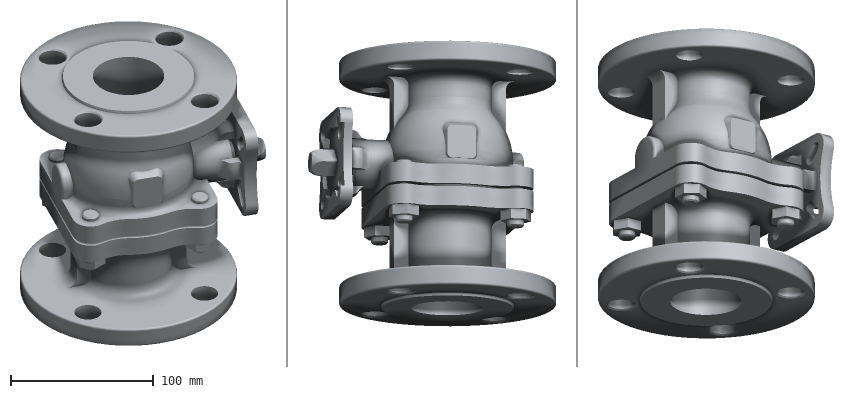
import cadquery as cq
import math


TOP_FACE_Z = 78
BOTTOM_FACE_Z = -100
BORE_DIA = 50
FLANGE_DIA = 152
FLANGE_THICKNESS = 14
FLANGE_EDGE_RADIUS = 1.5
RAISED_FACE_DIA = 92
RAISED_FACE_HEIGHT = 2
RAISED_FACE_FLARE = 0.7
FLANGE_HOLE_DIA = 19
FLANGE_HOLE_CHAMFER = 1
FLANGE_BOLT_CIRCLE = 120.7
TOP_FLANGE_UNDER_Z = TOP_FACE_Z - RAISED_FACE_HEIGHT - FLANGE_THICKNESS
BOTTOM_FLANGE_UPPER_Z = BOTTOM_FACE_Z + RAISED_FACE_HEIGHT + FLANGE_THICKNESS

NECK_RADIUS = 30.75
CHAMBER_RADIUS = 46
CHAMBER_CENTER_Z = 4.4
CHAMBER_SKIRT_Z = -1.8
SHOULDER_RADIUS = 15.5
TOP_NECK_FILLET = 6
BOTTOM_NECK_FILLET = 8
JOINT_NECK_FILLET = 7.5

JOINT_HALF_WIDTH = 52.5
JOINT_THICKNESS = 13.8
JOINT_GAP = 2
JOINT_TOP_Z = -7.3
GASKET_RADIUS = 49
BOLT_OFFSET = 40
LUG_RADIUS = JOINT_HALF_WIDTH - BOLT_OFFSET
WAIST_RADIUS = 30
JOINT_SPLIT_Z = JOINT_TOP_Z - JOINT_THICKNESS
COVER_TOP_Z = JOINT_SPLIT_Z - JOINT_GAP
COVER_BOTTOM_Z = COVER_TOP_Z - JOINT_THICKNESS

BOLT_DIA = 12
BOLT_CHAMFER = 1
BOLT_TOP_PROJECTION = 3
NUT_HEIGHT = 7
NUT_ACROSS_FLATS = 19
BOLT_END_PROJECTION = 4.2

RIB_WIDTH = 16
RIB_REACH = 40

PAD_FACE_X = 46.5
PAD_WIDTH = 20.6
PAD_TOP_Z = 21.6
PAD_BOTTOM_Z = -1.7
PAD_CORNER_RADIUS = 3.5
PAD_TAPER = 28
PAD_DEPTH = 7
FRONT_BOSS_RADIUS = 12.8
FRONT_BOSS_EDGE = 2.1

HOUSING_DIA = 35.2
HOUSING_END_Y = 71.1
STEM_DIA = 19
STEM_END_Y = 98.5
STEM_ACROSS_FLATS = 14.5
STEM_ROUNDING_LENGTH = 8
STEM_ROUNDING_DEPTH = 2.6

PLATE_BACK_Y = 75.4
PLATE_THICKNESS = 9
PLATE_FRONT_Y = PLATE_BACK_Y + PLATE_THICKNESS
PLATE_HALF_WIDTH = 35
PLATE_LOBE_RADIUS = 10
PLATE_LOBE_OFFSET = PLATE_HALF_WIDTH - PLATE_LOBE_RADIUS
PLATE_WAIST_HALF_HEIGHT = 21.7
RECESS_DEPTH = 3
RECESS_DIA = 50
RECESS_MOUTH_HALF_HEIGHT = 22.7
SLOT_WIDTH = 8
SLOT_INNER_CIRCLE = 50
SLOT_OUTER_CIRCLE = 70
ARM_WIDTH = 14.5
ARM_INNER_FACE = 17
ARM_OUTER_RADIUS = 24
ARM_END_RADIUS = 18
ARM_FILLET = 2.8
ARM_CURVE_START_Y = 69.9
ARM_END_Y = 59.4

CORNERS = [(1, 1), (-1, 1), (-1, -1), (1, -1)]


def cylinder(radius, z_low, z_high):
    return cq.Workplane("XY").workplane(offset=z_low).circle(radius).extrude(z_high - z_low)


def y_cylinder(radius, y_low, y_high):
    """Cylinder on the stem axis."""
    return cq.Workplane("XZ", origin=(0, y_low, 0)).circle(radius).extrude(y_low - y_high)


def block(x_low, x_high, y_low, y_high, z_low, z_high):
    return cq.Workplane("XY").box(
        x_high - x_low, y_high - y_low, z_high - z_low, centered=False
    ).translate((x_low, y_low, z_low))


def pipe_flange(face_z, inward):
    """Flange with a raised face at face_z; inward is the Z direction towards the valve."""
    disc = cq.Workplane("XY").circle(FLANGE_DIA / 2).extrude(FLANGE_THICKNESS)
    disc = disc.edges().fillet(FLANGE_EDGE_RADIUS)
    hole_offset = FLANGE_BOLT_CIRCLE / 2 / math.sqrt(2)
    hole_places = [(hole_offset * sx, hole_offset * sy) for sx, sy in CORNERS]
    disc = disc.cut(cq.Workplane("XY").pushPoints(hole_places)
                    .circle(FLANGE_HOLE_DIA / 2).extrude(FLANGE_THICKNESS))
    mouths = (cq.Workplane("XY").workplane(offset=FLANGE_THICKNESS).pushPoints(hole_places)
              .circle(FLANGE_HOLE_DIA / 2 + FLANGE_HOLE_CHAMFER).extrude(-FLANGE_HOLE_CHAMFER, taper=45))
    disc = disc.cut(mouths)
    base_radius = RAISED_FACE_DIA / 2 + RAISED_FACE_FLARE
    flare_angle = math.degrees(math.atan(RAISED_FACE_FLARE / RAISED_FACE_HEIGHT))
    raised = (cq.Workplane("XY").workplane(offset=FLANGE_THICKNESS)
              .circle(base_radius).extrude(RAISED_FACE_HEIGHT, taper=flare_angle))
    flange = disc.union(raised)
    if inward > 0:
        flange = flange.rotate((0, 0, 0), (1, 0, 0), 180)
    return flange.translate((0, 0, face_z + inward * (FLANGE_THICKNESS + RAISED_FACE_HEIGHT)))


def point_on_circle(center, radius, angle):
    """Point on a circle at an angle in radians."""
    return (center[0] + radius * math.cos(angle), center[1] + radius * math.sin(angle))


def upper_body():
    """Top neck, shoulder and ball chamber as one turned shape."""
    shoulder_center_r = NECK_RADIUS + SHOULDER_RADIUS
    center_distance = CHAMBER_RADIUS + SHOULDER_RADIUS
    shoulder_z = CHAMBER_CENTER_Z + math.sqrt(center_distance ** 2 - shoulder_center_r ** 2)
    touch_angle = math.acos(shoulder_center_r / center_distance)
    chamber_center = (0, CHAMBER_CENTER_Z)
    touch = point_on_circle(chamber_center, CHAMBER_RADIUS, touch_angle)
    shoulder_middle = point_on_circle((shoulder_center_r, shoulder_z), SHOULDER_RADIUS,
                                      math.pi + touch_angle / 2)
    chamber_middle = point_on_circle(chamber_center, CHAMBER_RADIUS, touch_angle / 2)
    foot_fillet = CHAMBER_SKIRT_Z - JOINT_TOP_Z
    return (
        cq.Workplane("XZ")
        .moveTo(0, TOP_FLANGE_UNDER_Z)
        .lineTo(NECK_RADIUS + TOP_NECK_FILLET, TOP_FLANGE_UNDER_Z)
        .radiusArc((NECK_RADIUS, TOP_FLANGE_UNDER_Z - TOP_NECK_FILLET), -TOP_NECK_FILLET)
        .lineTo(NECK_RADIUS, shoulder_z)
        .threePointArc(shoulder_middle, touch)
        .threePointArc(chamber_middle, (CHAMBER_RADIUS, CHAMBER_CENTER_Z))
        .lineTo(CHAMBER_RADIUS, CHAMBER_SKIRT_Z)
        .radiusArc((CHAMBER_RADIUS + foot_fillet, JOINT_TOP_Z), -foot_fillet)
        .lineTo(0, JOINT_TOP_Z)
        .close()
        .revolve(360, (0, 0, 0), (0, 1, 0))
    )


def lower_neck():
    return (
        cq.Workplane("XZ")
        .moveTo(0, COVER_BOTTOM_Z)
        .lineTo(NECK_RADIUS + JOINT_NECK_FILLET, COVER_BOTTOM_Z)
        .radiusArc((NECK_RADIUS, COVER_BOTTOM_Z - JOINT_NECK_FILLET), -JOINT_NECK_FILLET)
        .lineTo(NECK_RADIUS, BOTTOM_FLANGE_UPPER_Z + BOTTOM_NECK_FILLET)
        .radiusArc((NECK_RADIUS + BOTTOM_NECK_FILLET, BOTTOM_FLANGE_UPPER_Z), -BOTTOM_NECK_FILLET)
        .lineTo(0, BOTTOM_FLANGE_UPPER_Z)
        .close()
        .revolve(360, (0, 0, 0), (0, 1, 0))
    )


def joint_plate(z_low):
    """Bolting plate: flat to the front and back, waisted beside a round bulge on each X side."""
    lug_distance = BOLT_OFFSET * math.sqrt(2)
    bulge_distance = JOINT_HALF_WIDTH + WAIST_RADIUS
    waist_to_lug = LUG_RADIUS + WAIST_RADIUS
    swing = math.acos((lug_distance ** 2 + bulge_distance ** 2 - waist_to_lug ** 2)
                      / (2 * lug_distance * bulge_distance))
    waist_angle = math.pi / 4 - swing
    waist_center = (bulge_distance * math.cos(waist_angle), bulge_distance * math.sin(waist_angle))
    bulge_x = JOINT_HALF_WIDTH * math.cos(waist_angle)
    bulge_y = JOINT_HALF_WIDTH * math.sin(waist_angle)
    lug_share = LUG_RADIUS / waist_to_lug
    lug_x = BOLT_OFFSET + lug_share * (waist_center[0] - BOLT_OFFSET)
    lug_y = BOLT_OFFSET + lug_share * (waist_center[1] - BOLT_OFFSET)
    half = JOINT_HALF_WIDTH
    return (
        cq.Workplane("XY").workplane(offset=z_low)
        .moveTo(-BOLT_OFFSET, half)
        .lineTo(BOLT_OFFSET, half)
        .radiusArc((lug_x, lug_y), LUG_RADIUS)
        .radiusArc((bulge_x, bulge_y), -WAIST_RADIUS)
        .radiusArc((bulge_x, -bulge_y), half)
        .radiusArc((lug_x, -lug_y), -WAIST_RADIUS)
        .radiusArc((BOLT_OFFSET, -half), LUG_RADIUS)
        .lineTo(-BOLT_OFFSET, -half)
        .radiusArc((-lug_x, -lug_y), LUG_RADIUS)
        .radiusArc((-bulge_x, -bulge_y), -WAIST_RADIUS)
        .radiusArc((-bulge_x, bulge_y), half)
        .radiusArc((-lug_x, lug_y), -WAIST_RADIUS)
        .radiusArc((-BOLT_OFFSET, half), LUG_RADIUS)
        .close()
        .extrude(JOINT_THICKNESS)
    )


def bolts():
    """Four bolts with nuts, each turned a quarter from the last about the pipe axis."""
    bolt_bottom = COVER_BOTTOM_Z - NUT_HEIGHT - BOLT_END_PROJECTION
    shank = cylinder(BOLT_DIA / 2, bolt_bottom, JOINT_TOP_Z + BOLT_TOP_PROJECTION)
    shank = shank.faces("<Z or >Z").chamfer(BOLT_CHAMFER)
    across_corners = NUT_ACROSS_FLATS / math.cos(math.pi / 6)
    nut = (cq.Workplane("XY").workplane(offset=COVER_BOTTOM_Z)
           .polygon(6, across_corners).extrude(-NUT_HEIGHT))
    bolt = shank.union(nut).translate((BOLT_OFFSET, -BOLT_OFFSET, 0))
    ring = bolt
    for turn in (90, 180, 270):
        ring = ring.union(bolt.rotate((0, 0, 0), (0, 0, 1), turn))
    return ring


def neck_ribs():
    """Slab through both necks, front to back, flaring into the flanges."""
    upper = (
        cq.Workplane("YZ", origin=(-RIB_WIDTH / 2, 0, 0))
        .moveTo(-RIB_REACH, CHAMBER_CENTER_Z)
        .lineTo(-RIB_REACH, TOP_FLANGE_UNDER_Z - TOP_NECK_FILLET)
        .radiusArc((-RIB_REACH - TOP_NECK_FILLET, TOP_FLANGE_UNDER_Z), -TOP_NECK_FILLET)
        .lineTo(RIB_REACH + TOP_NECK_FILLET, TOP_FLANGE_UNDER_Z)
        .radiusArc((RIB_REACH, TOP_FLANGE_UNDER_Z - TOP_NECK_FILLET), -TOP_NECK_FILLET)
        .lineTo(RIB_REACH, CHAMBER_CENTER_Z)
        .close()
        .extrude(RIB_WIDTH)
    )
    lower = (
        cq.Workplane("YZ", origin=(-RIB_WIDTH / 2, 0, 0))
        .moveTo(RIB_REACH, COVER_BOTTOM_Z)
        .lineTo(RIB_REACH, BOTTOM_FLANGE_UPPER_Z + BOTTOM_NECK_FILLET)
        .radiusArc((RIB_REACH + BOTTOM_NECK_FILLET, BOTTOM_FLANGE_UPPER_Z), -BOTTOM_NECK_FILLET)
        .lineTo(-RIB_REACH - BOTTOM_NECK_FILLET, BOTTOM_FLANGE_UPPER_Z)
        .radiusArc((-RIB_REACH, BOTTOM_FLANGE_UPPER_Z + BOTTOM_NECK_FILLET), -BOTTOM_NECK_FILLET)
        .lineTo(-RIB_REACH, COVER_BOTTOM_Z)
        .close()
        .extrude(RIB_WIDTH)
    )
    return upper.union(lower)


def side_pads():
    """Tapered pads on the -X and +X sides of the chamber."""
    pad_height = PAD_TOP_Z - PAD_BOTTOM_Z
    face = cq.Sketch().rect(PAD_WIDTH, pad_height).vertices().fillet(PAD_CORNER_RADIUS)
    pad = (cq.Workplane("YZ", origin=(PAD_FACE_X, 0, (PAD_TOP_Z + PAD_BOTTOM_Z) / 2))
           .placeSketch(face).extrude(-PAD_DEPTH, taper=-PAD_TAPER))
    pad = pad.intersect(block(0, PAD_FACE_X, -PAD_WIDTH, PAD_WIDTH, PAD_BOTTOM_Z, TOP_FACE_Z))
    return pad.union(pad.mirror("YZ"))


def front_boss():
    """Round-topped boss standing on the joint plate, flush with its front face."""
    boss = (
        cq.Workplane("XZ", origin=(0, -JOINT_HALF_WIDTH, 0))
        .moveTo(-FRONT_BOSS_RADIUS, JOINT_TOP_Z)
        .lineTo(-FRONT_BOSS_RADIUS, 0)
        .threePointArc((0, FRONT_BOSS_RADIUS), (FRONT_BOSS_RADIUS, 0))
        .lineTo(FRONT_BOSS_RADIUS, JOINT_TOP_Z)
        .close()
        .extrude(BORE_DIA / 2 - JOINT_HALF_WIDTH)
    )
    return boss.faces("<Y").edges("not(<Z)").fillet(FRONT_BOSS_EDGE)


def stem():
    """Round stem whose outer end is a square set on its corner, rounded at the tip."""
    radius = STEM_DIA / 2
    tip_radius = radius - STEM_ROUNDING_DEPTH
    rounding = (STEM_ROUNDING_LENGTH ** 2 + STEM_ROUNDING_DEPTH ** 2) / (2 * STEM_ROUNDING_DEPTH)
    turned = (
        cq.Workplane("XY")
        .moveTo(0, BORE_DIA / 2)
        .lineTo(radius, BORE_DIA / 2)
        .lineTo(radius, STEM_END_Y - STEM_ROUNDING_LENGTH)
        .radiusArc((tip_radius, STEM_END_Y), -rounding)
        .lineTo(0, STEM_END_Y)
        .close()
        .revolve(360, (0, 0, 0), (0, 1, 0))
    )
    square_start = PLATE_FRONT_Y - RECESS_DEPTH
    square = (
        cq.Workplane("XZ", origin=(0, square_start, 0))
        .rect(STEM_ACROSS_FLATS, STEM_ACROSS_FLATS)
        .extrude(square_start - STEM_END_Y)
        .rotate((0, 0, 0), (0, 1, 0), 45)
    )
    return turned.intersect(y_cylinder(radius, BORE_DIA / 2, square_start).union(square))


def mounting_plate():
    """Plate with four lobes, hollowed sides, a round recess open to -X and four diagonal slots."""
    half = PLATE_HALF_WIDTH
    lobe = PLATE_LOBE_OFFSET
    waist_z = PLATE_WAIST_HALF_HEIGHT
    lobe_drop = lobe - waist_z
    edge_x = lobe + math.sqrt(PLATE_LOBE_RADIUS ** 2 - lobe_drop ** 2)
    hollow_radius = waist_z * PLATE_LOBE_RADIUS / lobe_drop
    plate = (
        cq.Workplane("XZ", origin=(0, PLATE_BACK_Y, 0))
        .moveTo(-lobe, half)
        .lineTo(lobe, half)
        .radiusArc((edge_x, waist_z), PLATE_LOBE_RADIUS)
        .radiusArc((edge_x, -waist_z), -hollow_radius)
        .radiusArc((lobe, -half), PLATE_LOBE_RADIUS)
        .lineTo(-lobe, -half)
        .radiusArc((-edge_x, -waist_z), PLATE_LOBE_RADIUS)
        .radiusArc((-edge_x, waist_z), -hollow_radius)
        .radiusArc((-lobe, half), PLATE_LOBE_RADIUS)
        .close()
        .extrude(-PLATE_THICKNESS)
    )
    recess_floor_y = PLATE_FRONT_Y - RECESS_DEPTH
    plate = plate.cut(y_cylinder(RECESS_DIA / 2, recess_floor_y, PLATE_FRONT_Y))
    plate = plate.cut(block(-half, 0, recess_floor_y, PLATE_FRONT_Y,
                            -RECESS_MOUTH_HALF_HEIGHT, RECESS_MOUTH_HALF_HEIGHT))
    slot_length = (SLOT_OUTER_CIRCLE - SLOT_INNER_CIRCLE) / 2 + SLOT_WIDTH
    slot_middle = (SLOT_OUTER_CIRCLE + SLOT_INNER_CIRCLE) / 4
    slot = (cq.Workplane("XZ", origin=(0, PLATE_BACK_Y, 0)).center(slot_middle, 0)
            .slot2D(slot_length, SLOT_WIDTH).extrude(-PLATE_THICKNESS))
    for turn in (45, 135, 225, 315):
        plate = plate.cut(slot.rotate((0, 0, 0), (0, 1, 0), turn))
    return plate


def plate_arms():
    """Four arms from the housing to the mounting plate, with bell-shaped turned outer faces."""
    curve_y = (ARM_CURVE_START_Y + ARM_END_Y) / 2
    curve_r = (ARM_OUTER_RADIUS + ARM_END_RADIUS) / 2
    half_length = ARM_CURVE_START_Y - curve_y
    half_drop = ARM_OUTER_RADIUS - curve_r
    curve_radius = (half_length ** 2 + half_drop ** 2) / (2 * half_drop)
    bell = (
        cq.Workplane("XY")
        .moveTo(0, PLATE_BACK_Y)
        .lineTo(ARM_OUTER_RADIUS + ARM_FILLET, PLATE_BACK_Y)
        .radiusArc((ARM_OUTER_RADIUS, PLATE_BACK_Y - ARM_FILLET), -ARM_FILLET)
        .lineTo(ARM_OUTER_RADIUS, ARM_CURVE_START_Y)
        .radiusArc((curve_r, curve_y), curve_radius)
        .radiusArc((ARM_END_RADIUS, ARM_END_Y), -curve_radius)
        .lineTo(0, ARM_END_Y)
        .close()
        .revolve(360, (0, 0, 0), (0, 1, 0))
    )
    arm = bell.intersect(block(ARM_INNER_FACE, PLATE_HALF_WIDTH, ARM_END_Y, PLATE_BACK_Y,
                               -ARM_WIDTH / 2, ARM_WIDTH / 2))
    arms = arm
    for turn in (90, 180, 270):
        arms = arms.union(arm.rotate((0, 0, 0), (0, 1, 0), turn))
    return arms


valve = pipe_flange(TOP_FACE_Z, -1)
valve = valve.union(pipe_flange(BOTTOM_FACE_Z, 1))
valve = valve.union(upper_body())
valve = valve.union(lower_neck())
valve = valve.union(joint_plate(JOINT_SPLIT_Z))
valve = valve.union(joint_plate(COVER_BOTTOM_Z))
valve = valve.union(cylinder(GASKET_RADIUS, COVER_TOP_Z, JOINT_SPLIT_Z))
valve = valve.union(neck_ribs())
valve = valve.union(side_pads())
valve = valve.union(front_boss())
valve = valve.union(y_cylinder(HOUSING_DIA / 2, BORE_DIA / 2, HOUSING_END_Y))
valve = valve.union(plate_arms())
valve = valve.union(mounting_plate())
valve = valve.union(stem())
valve = valve.union(bolts())
result = valve.cut(cylinder(BORE_DIA / 2, BOTTOM_FACE_Z, TOP_FACE_Z))